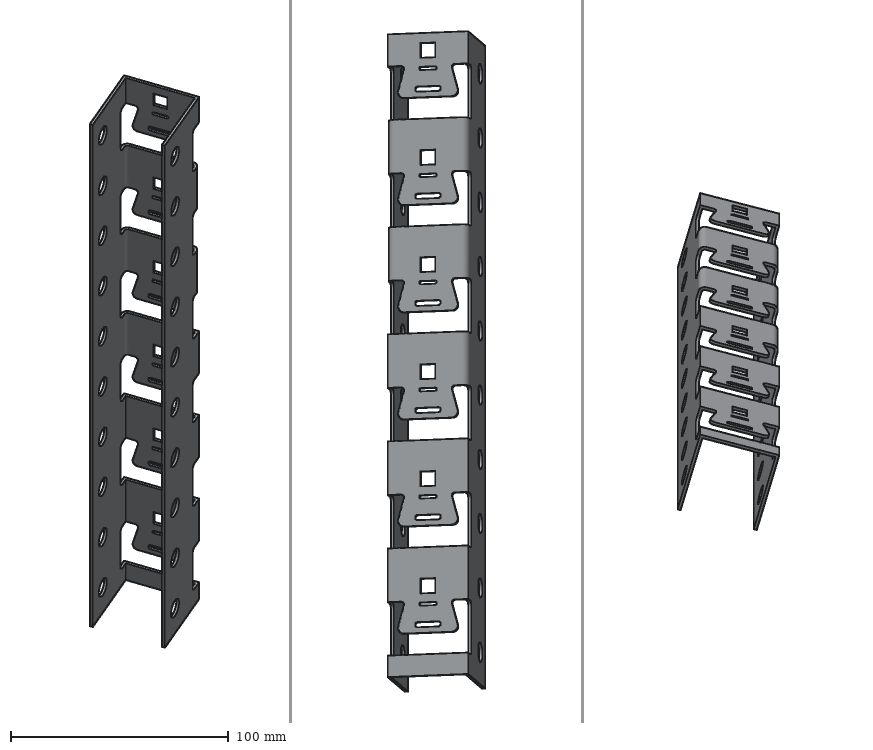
import cadquery as cq
import math

length = 300.0
width = 37.8
depth = 38.5
sheet = 1.5
bend_radius = 3.0
overlap = 3.0

repeats = 6
pitch = length / repeats
window_top = pitch * 0.3
window_height = pitch / 2
window_depth = 7.2
window_corner = 2.0
web_pitches_with_left_bend = (1, 2, 3)
web_pitches_with_right_bend = (1, 2)

tongue_length = 15.0
neck_width = 21.5
tongue_end_width = 29.7
tongue_corner = 2.7
neck_corner = 1.5

square_size = 7.0
square_drop = 8.0
small_slot = (8.0, 1.5)
small_slot_drop = 16.5
large_slot = (12.0, 2.5)
large_slot_drop = 26.0

leg_holes = 10
leg_hole_diameter = 9.0
leg_hole_pitch = length / leg_holes
leg_hole_from_back = 27.0

back = depth / 2
top = length / 2
window_mid_drop = window_top + window_height / 2


def web_plane():
    """Sketch plane on the back face: local x is X, local y is Z, extruding toward -Y."""
    return cq.Workplane("XZ", origin=(0, back, 0))


def channel():
    outer = cq.Workplane("XY").box(width, depth, length)
    inner = cq.Workplane("XY").box(width - 2 * sheet, depth, length).translate((0, -sheet, 0))
    return outer.cut(inner)


def bend_corner(side, corner_inset, radius, upper, lower):
    """Region between a square rear corner and the arc rounding it, from lower to upper height."""
    edge_x = side * (width / 2 - corner_inset)
    edge_y = back - corner_inset
    center_x = edge_x - side * radius
    center_y = edge_y - radius
    arc_middle = radius / math.sqrt(2)
    return (
        cq.Workplane("XY", origin=(0, 0, lower))
        .moveTo(edge_x, edge_y)
        .lineTo(edge_x, center_y)
        .threePointArc((center_x + side * arc_middle, center_y + arc_middle), (center_x, edge_y))
        .close()
        .extrude(upper - lower)
    )


def round_bends(body, side, pitches):
    """Round the corner of chosen web plates, keeping an even sheet thickness."""
    for index in pitches:
        lower = top - index * pitch - window_top
        upper = lower + pitch - window_height
        body = body.union(bend_corner(side, sheet, bend_radius - sheet, upper, lower))
        body = body.cut(bend_corner(side, 0, bend_radius, upper, lower))
    return body


def window(start):
    """Opening across the web that also notches both legs."""
    return (
        cq.Workplane("XY")
        .box(width + 2 * overlap, window_depth + overlap, window_height)
        .edges("|X and <Y")
        .fillet(window_corner)
        .translate((0, back + (overlap - window_depth) / 2, start - window_mid_drop))
    )


def tongue(start):
    """Flared tongue with rounded free corners and filleted roots at the web."""
    root = start - window_top
    tip = root - tongue_length
    shoulder = neck_width / 2 + 2 * neck_corner
    outline = [
        (-shoulder, root + sheet),
        (-shoulder, root),
        (-neck_width / 2, root),
        (-tongue_end_width / 2, tip),
        (tongue_end_width / 2, tip),
        (neck_width / 2, root),
        (shoulder, root),
        (shoulder, root + sheet),
    ]
    plate = web_plane().polyline(outline).close().extrude(sheet)
    tip_region = cq.selectors.BoxSelector(
        (-width, -depth, tip - overlap), (width, depth, tip + overlap)
    )
    plate = plate.edges("|Y").edges(tip_region).fillet(tongue_corner)
    neck_reach = (neck_width + neck_corner) / 2
    neck_region = cq.selectors.BoxSelector(
        (-neck_reach, -depth, root - neck_corner), (neck_reach, depth, root + neck_corner)
    )
    return plate.edges("|Y").edges(neck_region).fillet(neck_corner)


def web_openings(start):
    square = web_plane().center(0, start - square_drop).rect(square_size, square_size)
    small = web_plane().center(0, start - small_slot_drop).slot2D(*small_slot)
    large = web_plane().center(0, start - large_slot_drop).slot2D(*large_slot)
    cutters = [opening.extrude(sheet + overlap) for opening in (square, small, large)]
    return cutters[0].union(cutters[1]).union(cutters[2])


def leg_hole_cutters():
    centers = [
        (back - leg_hole_from_back, top - (index + 0.5) * leg_hole_pitch)
        for index in range(leg_holes)
    ]
    return (
        cq.Workplane("YZ")
        .pushPoints(centers)
        .circle(leg_hole_diameter / 2)
        .extrude(width, both=True)
    )


body = channel()
body = round_bends(body, -1, web_pitches_with_left_bend)
body = round_bends(body, 1, web_pitches_with_right_bend)
for index in range(repeats):
    pitch_start = top - index * pitch
    body = body.cut(window(pitch_start))
    body = body.union(tongue(pitch_start))
    body = body.cut(web_openings(pitch_start))
result = body.cut(leg_hole_cutters())